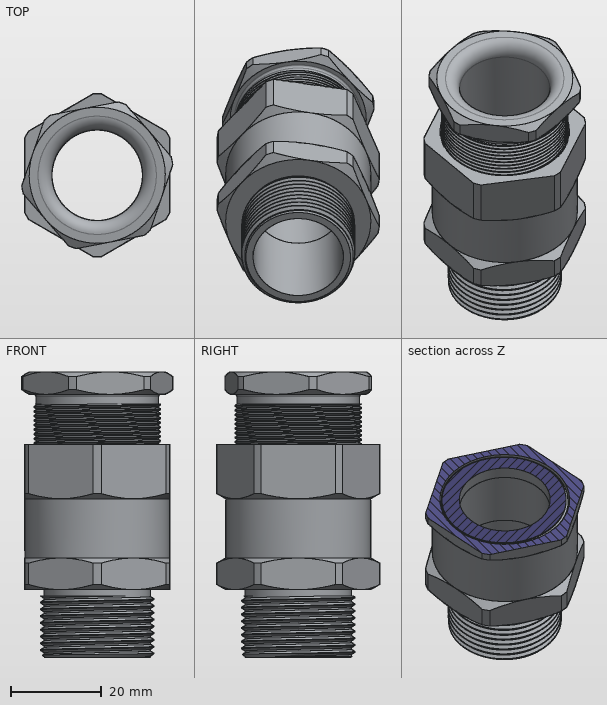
import cadquery as cq
import math

ENTRY_THREAD_LENGTH = 15.0
ENTRY_HEX_HEIGHT = 7.0
SLEEVE_HEIGHT = 13.05
BODY_HEX_HEIGHT = 12.0
BACK_NUT_GAP = 11.0
TOTAL_HEIGHT = 63.0

ENTRY_HEX_Z = ENTRY_THREAD_LENGTH
SLEEVE_Z = ENTRY_HEX_Z + ENTRY_HEX_HEIGHT
BODY_HEX_Z = SLEEVE_Z + SLEEVE_HEIGHT
BODY_TOP_Z = BODY_HEX_Z + BODY_HEX_HEIGHT
BACK_HEX_Z = BODY_TOP_Z + BACK_NUT_GAP
BACK_HEX_HEIGHT = TOTAL_HEIGHT - BACK_HEX_Z

BODY_FLATS = 32.0
BODY_CORNERS = 36.0
BODY_CORNER_ANGLE = 90.0
BACK_FLATS = 30.0
BACK_CORNERS = 33.65
BACK_CORNER_ANGLE = 11.0
CHAMFER_ANGLE = 30.0

BORE_RADIUS = 9.95
MOUTH_RADIUS = 3.1

ENTRY_CREST_RADIUS = 12.5
ENTRY_ROOT_RADIUS = 11.8
ENTRY_TURNS = 10
ENTRY_PITCH = ENTRY_THREAD_LENGTH / ENTRY_TURNS
ENTRY_NECK = 1.4
ENTRY_CHAMFER = 0.95
ENTRY_TOOTH_Z = 12.9

BACK_CREST_RADIUS = 14.0
BACK_ROOT_RADIUS = 13.55
RECESS_TURNS = 12
BACK_PITCH = BODY_HEX_HEIGHT / RECESS_TURNS
BACK_NECK = 2.1
BACK_TOOTH_Z = 55.75
NECK_FILLET = 0.5
RECESS_CLEARANCE = 0.25
RECESS_RADIUS = BACK_CREST_RADIUS + RECESS_CLEARANCE

TOOTH_BASE = 3 / 4
TOOTH_CREST = 1 / 8
TOOTH_SINK = 0.05

CLIP_RADIUS = 18.9


def cylinder(radius, z, height):
    """Upright cylinder on the Z axis with its lower face at z."""
    return cq.Workplane("XY").workplane(offset=z).circle(radius).extrude(height)


def trimmed_hexagon(flats, corners, corner_angle, z, height, chamfer_top, chamfer_bottom):
    """Hexagonal prism with rounded corners and conical chamfers that start at its flats."""
    prism = (
        cq.Workplane("XY")
        .workplane(offset=z)
        .polygon(6, flats / math.cos(math.pi / 6))
        .extrude(height)
        .rotate((0, 0, 0), (0, 0, 1), corner_angle)
    )
    flat_radius = flats / 2
    corner_radius = corners / 2
    rise = (corner_radius - flat_radius) * math.tan(math.radians(CHAMFER_ANGLE))
    envelope = cylinder(corner_radius, z, height)
    chamfer = rise, corner_radius - flat_radius
    if chamfer_top:
        envelope = envelope.faces(">Z").chamfer(*chamfer)
    if chamfer_bottom:
        envelope = envelope.faces("<Z").chamfer(*chamfer)
    return prism.intersect(envelope)


def thread_ridge(root_radius, crest_radius, pitch, tooth_z, bottom_z, top_z):
    """Right-hand helical tooth of trapezoidal section, sunk into its core.

    A turn crosses the +X side at tooth_z, and the ends are clipped flat at bottom_z and top_z.
    """
    flank_slope = (TOOTH_BASE - TOOTH_CREST) * pitch / 2 / (crest_radius - root_radius)
    half_crest = TOOTH_CREST * pitch / 2
    half_base = TOOTH_BASE * pitch / 2 + flank_slope * TOOTH_SINK
    sunk_radius = root_radius - TOOTH_SINK
    turns_below = math.ceil((tooth_z - bottom_z) / pitch) + 1
    turns_above = math.ceil((top_z - tooth_z) / pitch) + 1
    helix = cq.Wire.makeHelix(pitch, (turns_below + turns_above) * pitch, root_radius)
    tooth = (
        cq.Workplane("XZ")
        .polyline([
            (sunk_radius, -half_base),
            (crest_radius, -half_crest),
            (crest_radius, half_crest),
            (sunk_radius, half_base),
        ])
        .close()
        .sweep(cq.Workplane(helix), isFrenet=True)
        .translate((0, 0, tooth_z - turns_below * pitch))
    )
    return tooth.intersect(cylinder(CLIP_RADIUS, bottom_z, top_z - bottom_z))


def make_entry():
    """Entry fitting: externally threaded spigot under a hexagon."""
    ridge = thread_ridge(
        ENTRY_ROOT_RADIUS, ENTRY_CREST_RADIUS, ENTRY_PITCH, ENTRY_TOOTH_Z, 0, ENTRY_HEX_Z - ENTRY_NECK
    )
    lead_in = (
        cylinder(CLIP_RADIUS, 0, ENTRY_HEX_Z)
        .faces("<Z")
        .chamfer(CLIP_RADIUS - ENTRY_CREST_RADIUS + ENTRY_CHAMFER)
    )
    spigot = cylinder(ENTRY_ROOT_RADIUS, 0, ENTRY_HEX_Z).union(ridge).intersect(lead_in)
    hexagon = trimmed_hexagon(
        BODY_FLATS, BODY_CORNERS, BODY_CORNER_ANGLE, ENTRY_HEX_Z, ENTRY_HEX_HEIGHT, True, True
    )
    return spigot.union(hexagon).cut(cylinder(BORE_RADIUS, 0, SLEEVE_Z))


def make_body():
    """Middle body: cylindrical sleeve under a hexagon, recessed to take the back nut."""
    sleeve = cylinder(BODY_FLATS / 2, SLEEVE_Z, SLEEVE_HEIGHT)
    hexagon = trimmed_hexagon(
        BODY_FLATS, BODY_CORNERS, BODY_CORNER_ANGLE, BODY_HEX_Z, BODY_HEX_HEIGHT, False, True
    )
    bore = cylinder(BORE_RADIUS, SLEEVE_Z, SLEEVE_HEIGHT)
    recess = cylinder(RECESS_RADIUS, BODY_HEX_Z, BODY_HEX_HEIGHT)
    return sleeve.union(hexagon).cut(bore).cut(recess)


def flared_bore():
    """Cutter for the back nut's bore, whose mouth opens along a quarter round."""
    mouth_start_z = TOTAL_HEIGHT - MOUTH_RADIUS
    arc_offset = MOUTH_RADIUS * math.sin(math.pi / 4)
    arc_middle = (BORE_RADIUS + MOUTH_RADIUS - arc_offset, mouth_start_z + arc_offset)
    return (
        cq.Workplane("XZ")
        .moveTo(0, BODY_HEX_Z)
        .lineTo(BORE_RADIUS, BODY_HEX_Z)
        .lineTo(BORE_RADIUS, mouth_start_z)
        .threePointArc(arc_middle, (BORE_RADIUS + MOUTH_RADIUS, TOTAL_HEIGHT))
        .lineTo(0, TOTAL_HEIGHT)
        .close()
        .revolve(360, (0, 0), (0, 1))
    )


def back_nut_shank():
    """Plain core of the back nut's thread, flaring into the underside of its hexagon."""
    fillet_start_z = BACK_HEX_Z - NECK_FILLET
    arc_offset = NECK_FILLET * math.sin(math.pi / 4)
    arc_middle = (BACK_ROOT_RADIUS + NECK_FILLET - arc_offset, fillet_start_z + arc_offset)
    return (
        cq.Workplane("XZ")
        .moveTo(0, BODY_HEX_Z)
        .lineTo(BACK_ROOT_RADIUS, BODY_HEX_Z)
        .lineTo(BACK_ROOT_RADIUS, fillet_start_z)
        .threePointArc(arc_middle, (BACK_ROOT_RADIUS + NECK_FILLET, BACK_HEX_Z))
        .lineTo(0, BACK_HEX_Z)
        .close()
        .revolve(360, (0, 0), (0, 1))
    )


def make_back_nut():
    """Back nut: hexagonal head on a threaded shank that screws into the body's recess."""
    ridge = thread_ridge(
        BACK_ROOT_RADIUS, BACK_CREST_RADIUS, BACK_PITCH, BACK_TOOTH_Z, BODY_HEX_Z, BACK_HEX_Z - BACK_NECK
    )
    hexagon = trimmed_hexagon(
        BACK_FLATS, BACK_CORNERS, BACK_CORNER_ANGLE, BACK_HEX_Z, BACK_HEX_HEIGHT, True, True
    )
    return back_nut_shank().union(ridge).union(hexagon).cut(flared_bore())


entry = make_entry()
body = make_body()
back_nut = make_back_nut()

result = cq.Compound.makeCompound([
    entry.solids().val(),
    body.solids().val(),
    back_nut.solids().val(),
])